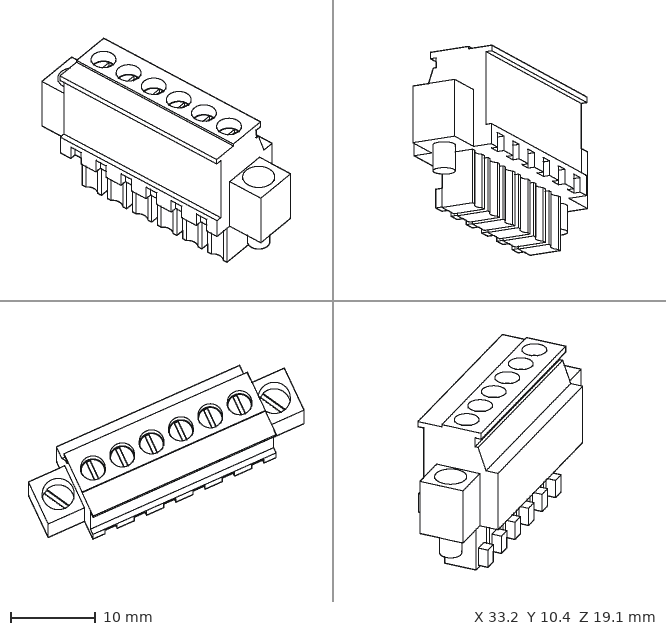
import cadquery as cq


pole_count = 6
pole_span = 19.05
pole_pitch = pole_span / (pole_count - 1)
pole_xs = [-pole_span / 2 + i * pole_pitch for i in range(pole_count)]

overall_length = 33.25
body_length = 23.8
base_z = 6.62
top_z = 19.1
back_y = 5.2
shoulder_y = 3.62
ledge_y = 2.6
neck_y = 2.2
rear_lip_y = 3.0
top_step_y = -2.13
front_lip_y = -5.25
front_wall_y = -4.5
foot_y = -5.2
shoulder_z = 14.2
ledge_z = 17.1
rear_lip_z = 18.3
front_top_z = 18.8
front_lip_z = 18.1
foot_top_z = 9.1

notch_width = 1.55
notch_height = 1.8
notch_depth = 0.83

plug_width = 2.93
plug_front_y = -2.2
plug_back_y = 1.9
groove_width = 1.8
groove_depth = 0.4
key_width = 1.55
key_back_y = 3.13
key_bottom_z = 0.3
key_top_z = 2.63

flange_length = (overall_length - body_length) / 2
flange_width = 5.62
flange_top_z = 13.63
flange_screw_x = 14.03
flange_screw_xs = [-flange_screw_x, flange_screw_x]
flange_head_diameter = 3.8
flange_head_recess = 3.32
flange_head_height = 1.33
flange_shaft_diameter = 2.65
flange_shaft_bottom_z = 3.42
flange_head_top_z = flange_top_z - flange_head_recess
flange_head_bottom_z = flange_head_top_z - flange_head_height
flange_slot_width = 0.55
flange_slot_angle = 29.0

clamp_hole_diameter = 2.93
clamp_recess = 1.53
clamp_screw_diameter = 2.75
clamp_screw_length = 3.32
clamp_slot_width = 0.5
clamp_screw_top_z = top_z - clamp_recess
clamp_screw_bottom_z = clamp_screw_top_z - clamp_screw_length

slot_depth = 0.5


def block(x, length, y_min, y_max, z_min, z_max):
    """Box centred on x, between the given Y and Z limits."""
    return (
        cq.Workplane("XY", origin=(x, (y_min + y_max) / 2, z_min))
        .box(length, y_max - y_min, z_max - z_min, centered=(True, True, False))
    )


def cylinder(x, diameter, z_min, z_max):
    """Upright cylinder on the screw row."""
    return cq.Workplane("XY", origin=(x, 0, z_min)).circle(diameter / 2).extrude(z_max - z_min)


def driver_slot(x, width, length, top, angle=0):
    """Cutter for a screwdriver slot, turned about the screw axis."""
    return (
        cq.Workplane("XY", origin=(x, 0, top - slot_depth))
        .transformed(rotate=(0, 0, angle))
        .rect(width, length)
        .extrude(slot_depth)
    )


def make_body():
    """Main profile extruded along the row of poles."""
    profile = [
        (back_y, base_z),
        (back_y, shoulder_z),
        (shoulder_y, shoulder_z),
        (ledge_y, ledge_z),
        (neck_y, ledge_z),
        (neck_y, rear_lip_z),
        (rear_lip_y, rear_lip_z),
        (rear_lip_y, top_z),
        (top_step_y, top_z),
        (top_step_y, front_top_z),
        (front_lip_y, front_top_z),
        (front_lip_y, front_lip_z),
        (front_wall_y, front_lip_z),
        (front_wall_y, foot_top_z),
        (foot_y, foot_top_z),
        (foot_y, base_z),
    ]
    return cq.Workplane("YZ").polyline(profile).close().extrude(body_length / 2, both=True)


def make_flange(side):
    """Screw flange at one end of the body; side is -1 or 1."""
    x = side * (body_length + flange_length) / 2
    return block(x, flange_length, -flange_width / 2, flange_width / 2, base_z, flange_top_z)


def make_plug(x):
    """Contact shroud with a round groove down its front and a key at its back."""
    shroud = block(x, plug_width, plug_front_y, plug_back_y, 0, base_z)
    groove = (
        cq.Workplane("XY", origin=(x, plug_front_y, 0))
        .moveTo(-groove_width / 2, 0)
        .threePointArc((0, groove_depth), (groove_width / 2, 0))
        .close()
        .extrude(base_z)
    )
    key = block(x, key_width, plug_back_y, key_back_y, key_bottom_z, key_top_z)
    return shroud.cut(groove).union(key)


def make_flange_screw(x):
    """Slotted flange screw: head and shaft."""
    head = cylinder(x, flange_head_diameter, flange_head_bottom_z, flange_head_top_z)
    shaft = cylinder(x, flange_shaft_diameter, flange_shaft_bottom_z, flange_head_bottom_z)
    slot = driver_slot(
        x, flange_slot_width, flange_head_diameter, flange_head_top_z, flange_slot_angle
    )
    return head.union(shaft).cut(slot)


def make_clamp_screw(x):
    """Slotted clamp screw sunk below the top of the housing."""
    screw = cylinder(x, clamp_screw_diameter, clamp_screw_bottom_z, clamp_screw_top_z)
    return screw.cut(driver_slot(x, clamp_slot_width, clamp_screw_diameter, clamp_screw_top_z))


def make_housing():
    """Body, flanges and plugs in one piece, with notches and screw holes cut out."""
    housing = make_body()
    for side in (-1, 1):
        housing = housing.union(make_flange(side))
    for x in pole_xs:
        housing = housing.union(make_plug(x))
    for x in pole_xs:
        notch = block(x, notch_width, foot_y, foot_y + notch_depth, base_z, base_z + notch_height)
        recess = cylinder(x, clamp_hole_diameter, clamp_screw_top_z, top_z)
        screw_hole = cylinder(x, clamp_screw_diameter, clamp_screw_bottom_z, clamp_screw_top_z)
        housing = housing.cut(notch).cut(recess).cut(screw_hole)
    for x in flange_screw_xs:
        head_hole = cylinder(x, flange_head_diameter, flange_head_bottom_z, flange_top_z)
        shaft_hole = cylinder(x, flange_shaft_diameter, base_z, flange_head_bottom_z)
        housing = housing.cut(head_hole).cut(shaft_hole)
    return housing


housing = make_housing()
clamp_screws = [make_clamp_screw(x).solids().val() for x in pole_xs]
flange_screws = [make_flange_screw(x).solids().val() for x in flange_screw_xs]

result = cq.Compound.makeCompound([housing.solids().val(), *clamp_screws, *flange_screws])